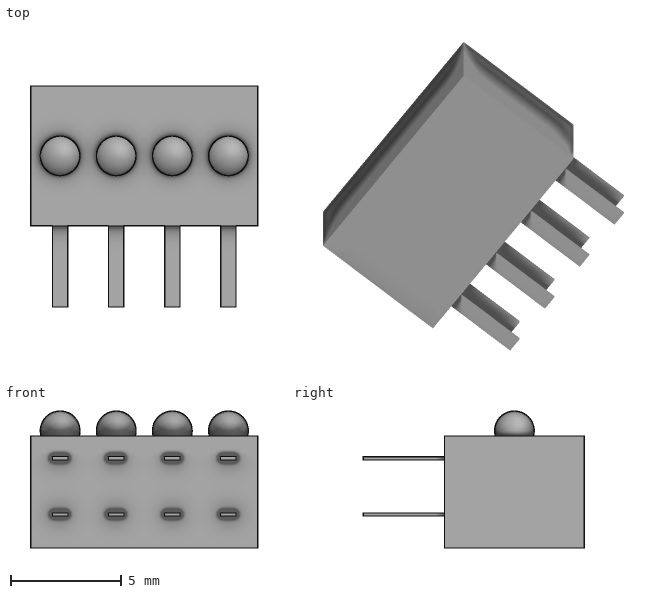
import cadquery as cq

housing_width = 10.29
housing_depth = 6.35
housing_height = 5.08

lamp_count = 4
pitch = 2.54

lens_radius = 0.91
lens_protrusion = 1.13
lens_center_height = housing_height + lens_protrusion - lens_radius

lead_length = 3.68
lead_width = 0.7
lead_thickness = 0.15
lower_lead_height = 1.52
lead_heights = (lower_lead_height, lower_lead_height + pitch)

lamp_positions = [(i - (lamp_count - 1) / 2) * pitch for i in range(lamp_count)]


def make_housing():
    """Plain block, centred in X and Y, standing on Z = 0."""
    return cq.Workplane("XY").box(
        housing_width, housing_depth, housing_height, centered=(True, True, False)
    )


def make_lenses():
    """Balls in a row along the middle of the top face."""
    centers = [(x, 0) for x in lamp_positions]
    return (
        cq.Workplane("XY")
        .workplane(offset=lens_center_height)
        .pushPoints(centers)
        .sphere(lens_radius)
    )


def make_leads():
    """Two rows of flat leads, extruded from the front face toward -Y."""
    centers = [(x, z) for x in lamp_positions for z in lead_heights]
    return (
        cq.Workplane("XZ", origin=(0, -housing_depth / 2, 0))
        .pushPoints(centers)
        .rect(lead_width, lead_thickness)
        .extrude(lead_length)
    )


result = make_housing().union(make_lenses()).union(make_leads())